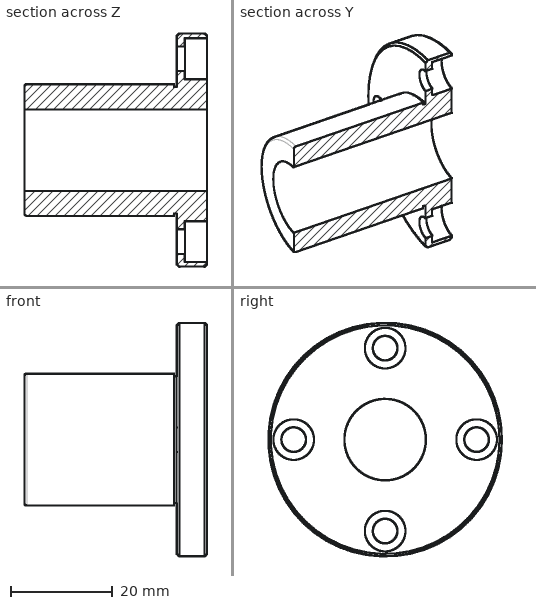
import cadquery as cq

total_length = 36.0
flange_diameter = 46.0
flange_thickness = 6.0
sleeve_diameter = 26.0
bore_diameter = 16.0

sleeve_end_radius = 0.5
flange_chamfer = 0.5
groove_width = 0.5
groove_depth = 0.5

hole_count = 4
hole_diameter = 4.8
hole_circle_diameter = 36.0
counterbore_diameter = 8.0
counterbore_depth = 4.4

sleeve_length = total_length - flange_thickness


def disc(diameter, length, start_x):
    """Solid cylinder along +X whose first face lies at start_x."""
    return cq.Workplane("YZ").workplane(offset=start_x).circle(diameter / 2).extrude(length)


def make_sleeve():
    """Sleeve with a rounded free end and a relief groove next to the flange."""
    body_length = sleeve_length - groove_width
    body = disc(sleeve_diameter, body_length, 0).faces("<X").edges().fillet(sleeve_end_radius)
    neck = disc(sleeve_diameter - 2 * groove_depth, groove_width, body_length)
    return body.union(neck)


def make_flange():
    """Round flange with both rims chamfered."""
    return disc(flange_diameter, flange_thickness, sleeve_length).edges().chamfer(flange_chamfer)


def make_hole_ring(diameter, start_x):
    """Ring of cutters, on the Y and Z axes of the flange, running from start_x to its far face."""
    return (
        cq.Workplane("YZ")
        .workplane(offset=start_x)
        .polarArray(hole_circle_diameter / 2, 0, 360, hole_count)
        .circle(diameter / 2)
        .extrude(total_length - start_x)
    )


def make_mounting_holes():
    """Through holes, counterbored from the far face of the flange."""
    through_holes = make_hole_ring(hole_diameter, sleeve_length)
    counterbores = make_hole_ring(counterbore_diameter, total_length - counterbore_depth)
    return through_holes.union(counterbores)


bore = disc(bore_diameter, total_length, 0)

result = make_sleeve().union(make_flange()).cut(bore).cut(make_mounting_holes())